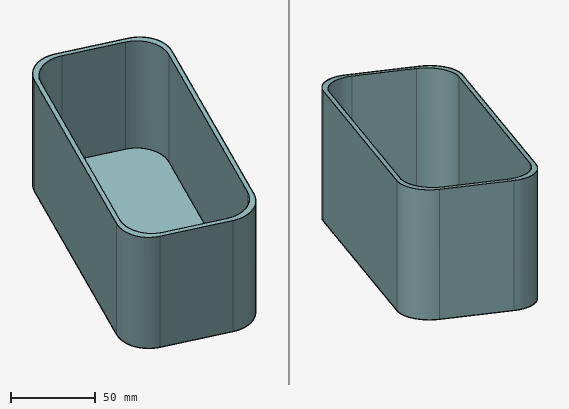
import cadquery as cq

length = 186.0
width = 86.0
height = 83.0
wall = 3.0
floor_thickness = wall
outer_corner_radius = 20.0
inner_corner_radius = outer_corner_radius


def rounded_block(size_x, size_y, size_z, corner_radius):
    """Block standing on the XY plane with rounded vertical edges."""
    block = cq.Workplane("XY").box(size_x, size_y, size_z, centered=(True, True, False))
    return block.edges("|Z").fillet(corner_radius)


outer_body = rounded_block(length, width, height, outer_corner_radius)

cavity = rounded_block(
    length - 2 * wall,
    width - 2 * wall,
    height - floor_thickness,
    inner_corner_radius,
).translate((0, 0, floor_thickness))

result = outer_body.cut(cavity)